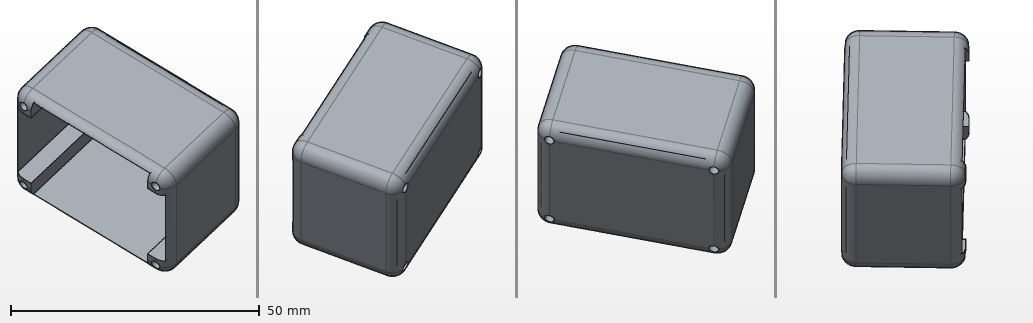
import cadquery as cq

length = 40.0
depth = 25.0
height = 30.0
edge_radius = 3.0
wall = 1.0

post_side = 4.0
hole_diameter = 2.0
hole_inset = edge_radius

cavity_length = length - 2 * wall
cavity_height = height - 2 * wall
post_x = (cavity_length - post_side) / 2
post_z = (cavity_height - post_side) / 2
hole_x = length / 2 - hole_inset
hole_z = height / 2 - hole_inset


def corners(x, z):
    """Four points mirrored about the center of the open face."""
    return [(sx * x, sz * z) for sx in (-1, 1) for sz in (-1, 1)]


def rounded_box():
    return cq.Workplane("XY").box(length, depth, height).edges().fillet(edge_radius)


def cavity():
    """Pocket from the open face to the back wall, leaving the corner posts."""
    front = cq.Workplane("XZ", origin=(0, -depth / 2, 0))
    pocket_depth = depth - wall
    pocket = front.rect(cavity_length, cavity_height).extrude(-pocket_depth)
    posts = front.pushPoints(corners(post_x, post_z)).rect(post_side, post_side).extrude(-pocket_depth)
    return pocket.cut(posts)


def screw_holes():
    """Holes along Y through the posts and the back wall."""
    front = cq.Workplane("XZ", origin=(0, -depth / 2, 0))
    return front.pushPoints(corners(hole_x, hole_z)).circle(hole_diameter / 2).extrude(-depth)


result = rounded_box().cut(cavity()).cut(screw_holes())